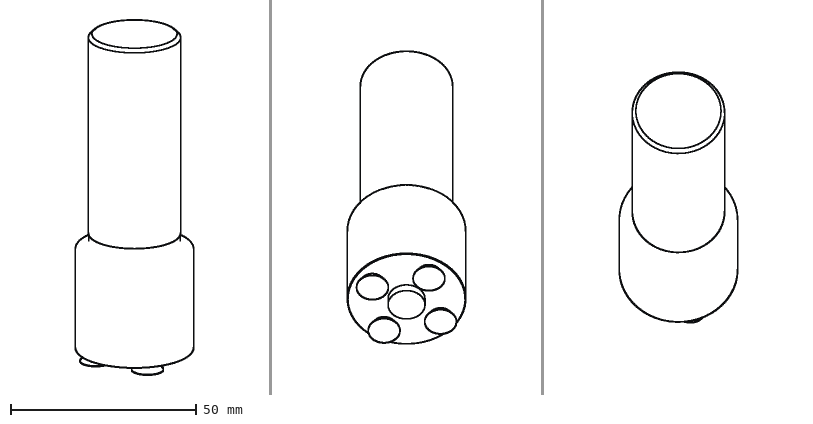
import cadquery as cq
import math

overall_height = 92.4

body_radius = 16.0
body_height = 30.15
bottom_chamfer = 0.2

shoulder_angle = 15.0
shoulder_blend = 1.0

shank_radius = 24.99 / 2
shank_chamfer = 1.0
neck_radius = 24.7 / 2
neck_depth = shank_radius - neck_radius
neck_length = 2.75

pin_length = 2.4
centre_pin_diameter = 9.99
flared_pin_top_diameter = 5.99
flared_pin_bottom_diameter = 8.6
flared_pin_rim_height = 0.2
flared_pin_count = 4
flared_pin_circle_radius = 11.0
flared_pin_start_angle = 45.0


def shoulder_height(radius):
    """Height of the unblended shoulder cone at a given radius."""
    return body_height - (radius - shank_radius) * math.tan(math.radians(shoulder_angle))


def blend_point(centre_x, centre_z, side, angle):
    """Point of a blend arc at an angle from horizontal; side is +1 outside, -1 inside."""
    x = centre_x + side * shoulder_blend * math.cos(angle)
    z = centre_z + side * shoulder_blend * math.sin(angle)
    return x, z


def make_turned_body():
    """Revolve the body, shoulder, neck and shank as one profile in the XZ plane."""
    top = overall_height - pin_length

    neck_top = body_height + neck_length
    shank_bottom = neck_top + neck_depth

    blend_turn = math.radians(90 - shoulder_angle)
    setback = shoulder_blend * math.tan(blend_turn / 2)

    outer_x = body_radius - shoulder_blend
    outer_start = shoulder_height(body_radius) - setback
    outer_mid = blend_point(outer_x, outer_start, 1, blend_turn / 2)
    outer_end = blend_point(outer_x, outer_start, 1, blend_turn)

    inner_x = neck_radius + shoulder_blend
    inner_end = shoulder_height(neck_radius) + setback
    inner_start = blend_point(inner_x, inner_end, -1, blend_turn)
    inner_mid = blend_point(inner_x, inner_end, -1, blend_turn / 2)

    profile = (
        cq.Workplane("XZ")
        .moveTo(0, 0)
        .lineTo(body_radius - bottom_chamfer, 0)
        .lineTo(body_radius, bottom_chamfer)
        .lineTo(body_radius, outer_start)
        .threePointArc(outer_mid, outer_end)
        .lineTo(*inner_start)
        .threePointArc(inner_mid, (neck_radius, inner_end))
        .lineTo(neck_radius, neck_top)
        .lineTo(shank_radius, shank_bottom)
        .lineTo(shank_radius, top - shank_chamfer)
        .lineTo(shank_radius - shank_chamfer, top)
        .lineTo(0, top)
        .close()
    )
    return profile.revolve(360, (0, 0, 0), (0, 1, 0))


def make_centre_pin():
    """Plain cylinder hanging below the body on its axis."""
    return cq.Workplane("XY").circle(centre_pin_diameter / 2).extrude(-pin_length)


def make_flared_pins():
    """Cones that widen downwards to a thin rim, evenly spaced around the axis."""
    profile = (
        cq.Workplane("XZ")
        .moveTo(0, 0)
        .lineTo(flared_pin_top_diameter / 2, 0)
        .lineTo(flared_pin_bottom_diameter / 2, flared_pin_rim_height - pin_length)
        .lineTo(flared_pin_bottom_diameter / 2, -pin_length)
        .lineTo(0, -pin_length)
        .close()
    )
    pin = profile.revolve(360, (0, 0, 0), (0, 1, 0))
    centres = cq.Workplane("XY").polarArray(
        flared_pin_circle_radius, flared_pin_start_angle, 360, flared_pin_count, rotate=False
    )
    return centres.eachpoint(lambda place: pin.val().located(place))


result = make_turned_body().union(make_centre_pin()).union(make_flared_pins())